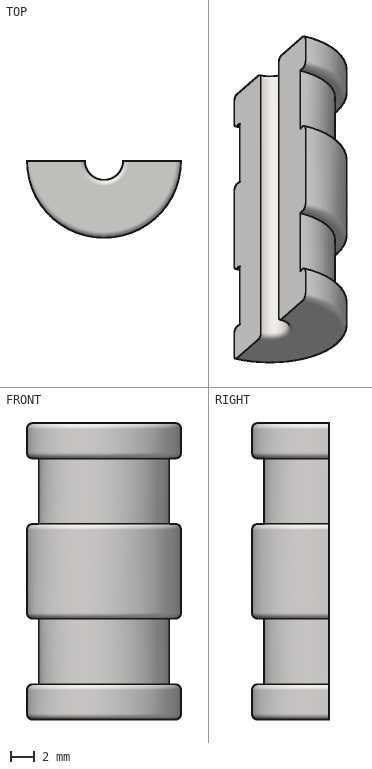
import cadquery as cq

total_length = 25.0
collar_radius = 6.5
neck_radius = 5.5
bore_radius = 1.6
end_collar_length = 3.0
middle_collar_length = 8.0
edge_radius = 0.5

half_length = total_length / 2
end_collar_offset = half_length - end_collar_length
half_middle = middle_collar_length / 2


def make_cylinder(radius, bottom, length):
    """Solid cylinder on the Z axis, starting at height bottom."""
    return cq.Workplane("XY").workplane(offset=bottom).circle(radius).extrude(length)


def make_collar(bottom, length):
    """Wide cylinder with both of its rims rounded."""
    return make_cylinder(collar_radius, bottom, length).edges("%CIRCLE").fillet(edge_radius)


def make_bore():
    """Through bore that flares to a rounded mouth at each end."""
    mouth_radius = bore_radius + edge_radius
    mouth_start = half_length - edge_radius
    arc_step = edge_radius * 0.5 ** 0.5
    arc_middle_radius = mouth_radius - arc_step
    arc_middle_height = mouth_start + arc_step
    return (
        cq.Workplane("XZ")
        .moveTo(0, -half_length)
        .lineTo(mouth_radius, -half_length)
        .threePointArc((arc_middle_radius, -arc_middle_height), (bore_radius, -mouth_start))
        .lineTo(bore_radius, mouth_start)
        .threePointArc((arc_middle_radius, arc_middle_height), (mouth_radius, half_length))
        .lineTo(0, half_length)
        .close()
        .revolve(360, (0, 0, 0), (0, 1, 0))
    )


def make_half_space():
    """Block covering the -Y side, which leaves the flat split face at Y = 0."""
    width = 2 * collar_radius
    return cq.Workplane("XY").box(width, width, total_length).translate((0, -collar_radius, 0))


body = make_cylinder(neck_radius, -end_collar_offset, 2 * end_collar_offset)
body = body.union(make_collar(-half_length, end_collar_length))
body = body.union(make_collar(-half_middle, middle_collar_length))
body = body.union(make_collar(end_collar_offset, end_collar_length))

result = body.cut(make_bore()).intersect(make_half_space())